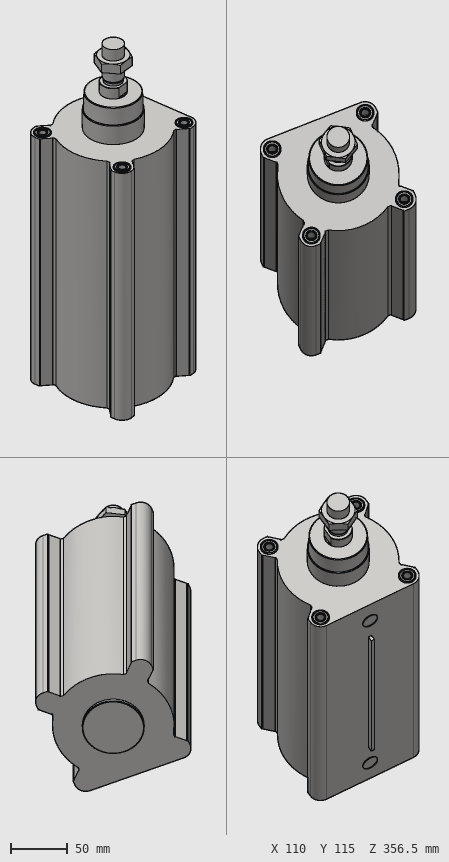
import cadquery as cq
import math

TOTAL_HEIGHT = 356.5
BODY_BOTTOM = 3.5
BODY_TOP = 267.0
COLLAR_STEP = 287.5
COLLAR_TOP = 305.5

BARREL_RADIUS = 54.0
WIDTH = 110.0
HALF_WIDTH = WIDTH / 2
BOLT_OFFSET = 44.5
EAR_FLAT_END = 40.0
EAR_NICK = 1.0
EAR_FOOT = 31.7
EAR_SLANT_END = 46.5
EAR_ROOT = 45.5

GROOVE_OUTER_DIAMETER = 15.7
GROOVE_FLOOR_DIAMETER = 15.0
GROOVE_INNER_DIAMETER = 13.2
GROOVE_DEPTH = 0.7
SINK_DIAMETER = 10.0
TAP_DIAMETER = 8.2
TAP_DEPTH = 0.5
DRILL_DIAMETER = 6.8
HOLE_DEPTH = 14.3

COLLAR_DIAMETER = 55.0
CAP_TOP_DIAMETER = 52.0
CAP_BOTTOM_DIAMETER = 53.0
COLLAR_CHAMFER = 0.7

RAIL_WIDTH = 3.2
RAIL_HEIGHT = 5.0
RAIL_BOTTOM = 52.0
RAIL_TOP = 219.2
PORT_DIAMETER = 15.0
PORT_HEIGHT = 0.7
PORT_LEVELS = (27.8, 243.0)

ROD_DIAMETER = 25.0
ROD_SHOULDER = 317.0
ROD_FLATS_WIDTH = 22.0
ROD_FLATS_BOTTOM = 306.5
ROD_CHAMFER = 0.5
NECK_DIAMETER = 18.0
NECK_TOP = 319.5
THREAD_DIAMETER = 20.0
THREAD_BOTTOM = 321.5
ROD_BOTTOM = BODY_TOP

NUT_BOTTOM = 334.5
NUT_TOP = 344.5
NUT_ACROSS_FLATS = 29.5
NUT_CHAMFER_ANGLE = 20.0


def cylinder(diameter, bottom, top):
    """Upright cylinder on the Z axis."""
    return cq.Workplane("XY").workplane(offset=bottom).circle(diameter / 2).extrude(top - bottom)


def revolved(*outlines):
    """Turn closed (radius, height) outlines about the Z axis."""
    sketch = cq.Workplane("XZ")
    for outline in outlines:
        sketch = sketch.polyline(outline).close()
    return sketch.revolve(360, (0, 0, 0), (0, 1, 0))


def corner_ear(x_side, y_side):
    """Ear around one corner bolt, rounded on the outside, slanted back to the barrel."""
    ear_radius = HALF_WIDTH - BOLT_OFFSET
    nick_end = EAR_FOOT + (HALF_WIDTH - EAR_NICK - EAR_SLANT_END)
    mid = BOLT_OFFSET + ear_radius * math.sqrt(0.5)
    root_end = math.sqrt(BARREL_RADIUS**2 - EAR_ROOT**2)

    def at(x, y):
        return (x_side * x, y_side * y)

    return (
        cq.Workplane("XY").workplane(offset=BODY_BOTTOM)
        .moveTo(*at(0, 0))
        .lineTo(*at(root_end, EAR_ROOT))
        .lineTo(*at(EAR_FOOT, EAR_ROOT))
        .lineTo(*at(EAR_FOOT, EAR_SLANT_END))
        .lineTo(*at(nick_end, HALF_WIDTH - EAR_NICK))
        .lineTo(*at(EAR_FLAT_END, HALF_WIDTH - EAR_NICK))
        .lineTo(*at(EAR_FLAT_END, HALF_WIDTH))
        .lineTo(*at(BOLT_OFFSET, HALF_WIDTH))
        .threePointArc(at(mid, mid), at(HALF_WIDTH, BOLT_OFFSET))
        .lineTo(*at(HALF_WIDTH, EAR_FLAT_END))
        .lineTo(*at(HALF_WIDTH - EAR_NICK, EAR_FLAT_END))
        .lineTo(*at(HALF_WIDTH - EAR_NICK, nick_end))
        .lineTo(*at(EAR_SLANT_END, EAR_FOOT))
        .lineTo(*at(EAR_ROOT, EAR_FOOT))
        .lineTo(*at(EAR_ROOT, root_end))
        .close()
        .extrude(BODY_TOP - BODY_BOTTOM)
    )


def make_barrel():
    """Round barrel with four ears and a flat +Y side."""
    barrel = cylinder(2 * BARREL_RADIUS, BODY_BOTTOM, BODY_TOP)
    for x_side in (-1, 1):
        for y_side in (-1, 1):
            barrel = barrel.union(corner_ear(x_side, y_side))
    flat_side = (
        cq.Workplane("XY").workplane(offset=BODY_BOTTOM)
        .center(0, HALF_WIDTH / 2)
        .rect(2 * BOLT_OFFSET, HALF_WIDTH)
        .extrude(BODY_TOP - BODY_BOTTOM)
    )
    return barrel.union(flat_side)


def bolt_hole():
    """Cutter for one corner hole, its mouth at Z = 0: ring groove around a countersunk bore."""
    groove = [
        (GROOVE_INNER_DIAMETER / 2, 0),
        (GROOVE_OUTER_DIAMETER / 2, 0),
        (GROOVE_OUTER_DIAMETER / 2, -GROOVE_DEPTH),
        (GROOVE_FLOOR_DIAMETER / 2, -GROOVE_DEPTH),
    ]
    bore = [
        (0, 0),
        (SINK_DIAMETER / 2, 0),
        (TAP_DIAMETER / 2, -TAP_DEPTH),
        (DRILL_DIAMETER / 2, -TAP_DEPTH),
        (DRILL_DIAMETER / 2, -HOLE_DEPTH),
        (0, -HOLE_DEPTH),
    ]
    return revolved(groove, bore)


def make_housing():
    housing = make_barrel()

    spigot = cylinder(COLLAR_DIAMETER, 0, BODY_BOTTOM).faces("<Z").chamfer(COLLAR_CHAMFER)
    collar = cylinder(COLLAR_DIAMETER, BODY_TOP, COLLAR_STEP).faces(">Z").chamfer(COLLAR_CHAMFER)
    cap = revolved([
        (0, COLLAR_STEP),
        (CAP_BOTTOM_DIAMETER / 2, COLLAR_STEP),
        (CAP_TOP_DIAMETER / 2, COLLAR_TOP),
        (0, COLLAR_TOP),
    ]).faces(">Z").chamfer(COLLAR_CHAMFER)
    housing = housing.union(spigot).union(collar).union(cap)

    cutter = bolt_hole()
    for x in (-BOLT_OFFSET, BOLT_OFFSET):
        for y in (-BOLT_OFFSET, BOLT_OFFSET):
            housing = housing.cut(cutter.translate((x, y, BODY_TOP)))

    rail = (
        cq.Workplane("XY")
        .box(RAIL_WIDTH, RAIL_HEIGHT, RAIL_TOP - RAIL_BOTTOM, centered=(True, False, False))
        .translate((0, HALF_WIDTH, RAIL_BOTTOM))
    )
    housing = housing.union(rail)

    for level in PORT_LEVELS:
        port = (
            cq.Workplane("XZ", origin=(0, HALF_WIDTH, level))
            .circle(PORT_DIAMETER / 2)
            .extrude(-PORT_HEIGHT)
        )
        housing = housing.union(port)

    return housing.cut(cylinder(ROD_DIAMETER, ROD_BOTTOM, COLLAR_TOP))


def make_rod():
    """Piston rod with a necked thread and two wrench flats facing +X and -X."""
    rod_radius = ROD_DIAMETER / 2
    neck_radius = NECK_DIAMETER / 2
    thread_radius = THREAD_DIAMETER / 2
    turned = revolved([
        (0, ROD_BOTTOM),
        (rod_radius, ROD_BOTTOM),
        (rod_radius, ROD_SHOULDER - ROD_CHAMFER),
        (rod_radius - ROD_CHAMFER, ROD_SHOULDER),
        (neck_radius, ROD_SHOULDER),
        (neck_radius, NECK_TOP),
        (thread_radius, THREAD_BOTTOM),
        (thread_radius, TOTAL_HEIGHT),
        (0, TOTAL_HEIGHT),
    ])
    flats_slab = (
        cq.Workplane("XY").workplane(offset=ROD_FLATS_BOTTOM)
        .rect(ROD_FLATS_WIDTH, ROD_DIAMETER)
        .extrude(ROD_SHOULDER - ROD_FLATS_BOTTOM)
    )
    beside_flats = cylinder(ROD_DIAMETER, ROD_FLATS_BOTTOM, ROD_SHOULDER).cut(flats_slab)
    return turned.cut(beside_flats)


def make_nut():
    """Hexagon nut with flats facing +X and -X and its upper corners turned down."""
    corner_radius = NUT_ACROSS_FLATS / math.sqrt(3)
    height = NUT_TOP - NUT_BOTTOM
    hexagon = (
        cq.Workplane("XY").workplane(offset=NUT_BOTTOM)
        .polygon(6, 2 * corner_radius)
        .extrude(height)
        .rotate((0, 0, 0), (0, 0, 1), 30)
    )
    flat_radius = NUT_ACROSS_FLATS / 2
    drop = (corner_radius - flat_radius) * math.tan(math.radians(NUT_CHAMFER_ANGLE))
    turned = revolved([
        (0, NUT_BOTTOM),
        (corner_radius, NUT_BOTTOM),
        (corner_radius, NUT_TOP - drop),
        (flat_radius, NUT_TOP),
        (0, NUT_TOP),
    ])
    return hexagon.intersect(turned).cut(cylinder(THREAD_DIAMETER, NUT_BOTTOM, NUT_TOP))


housing = make_housing()
rod = make_rod()
nut = make_nut()

result = cq.Compound.makeCompound([housing.val(), rod.val(), nut.val()])